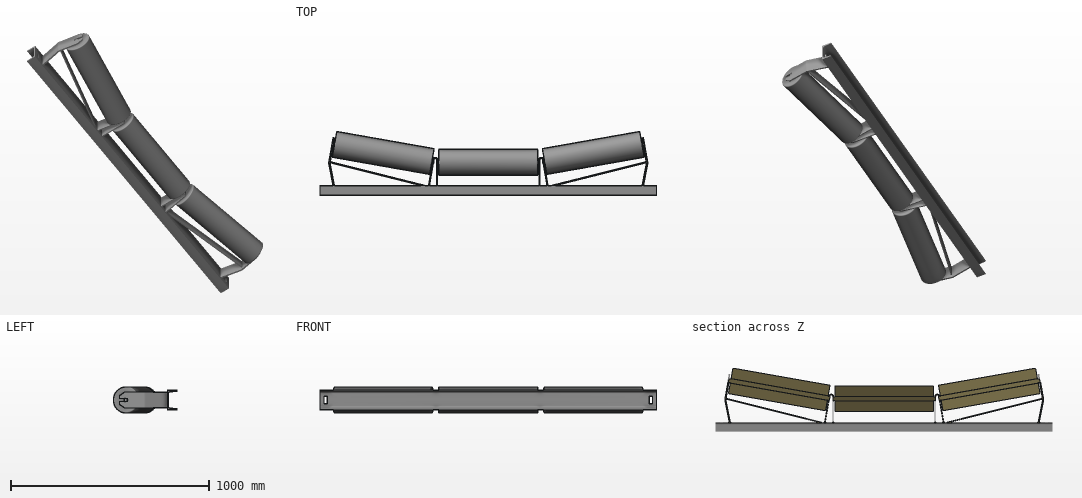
import cadquery as cq
import math

ROLLER_DIAMETER = 133.0
ROLLER_LENGTH = 500.0
ROLLER_EDGE_RADIUS = 5.0
SHAFT_DIAMETER = 20.0
SHAFT_FLAT_WIDTH = 16.0
SHAFT_OVERHANG = 10.0
SHAFT_END_CHAMFER = 2.0
TROUGH_ANGLE = 10.0

CHANNEL_LENGTH = 1700.0
CHANNEL_HEIGHT = 100.0
CHANNEL_DEPTH = 50.0
WEB_THICKNESS = 6.0
FLANGE_MEAN_THICKNESS = 8.5
FLANGE_SLOPE = 0.08
ROOT_RADIUS = 8.5
TOE_RADIUS = 4.5
MOUNTING_SLOT_WIDTH = 15.0
MOUNTING_SLOT_HEIGHT = 36.0
MOUNTING_SLOT_INSET = 29.5

OVERALL_Y = 322.68
CENTER_AXIS_Y = 117.5
WING_CENTER_X = 530.0
BRACKET_WIDTH = 80.0
FOOT_Y = -WEB_THICKNESS / 2

OUTER_PLATE_THICKNESS = 8.0
OUTER_BEND_RADIUS = 10.0
OUTER_FOOT_X = 779.0
OUTER_BEND_X = 802.0
OUTER_BEND_Y = 113.0
OUTER_ARM_LENGTH = 130.0
OUTER_SLOT_DEPTH = 41.0
OUTER_CORNER_LENGTH = 25.0
OUTER_CORNER_WIDTH = 18.0

INNER_PLATE_THICKNESS = 6.0
INNER_BEND_RADIUS = 6.0
INNER_LEG_X = 258.0
INNER_FOOT_X = 299.5
INNER_TOP_Y = 139.0

STAY_THICKNESS = 6.0
STAY_WIDTH = 50.0
STAY_FOOT_X = 316.0
STAY_TOP_Y = 119.0

tilt = math.radians(TROUGH_ANGLE)
roller_radius = ROLLER_DIAMETER / 2
edge_center_along = ROLLER_LENGTH / 2 - ROLLER_EDGE_RADIUS
edge_center_out = roller_radius - ROLLER_EDGE_RADIUS
wing_reach = edge_center_along * math.sin(tilt) + edge_center_out * math.cos(tilt) + ROLLER_EDGE_RADIUS
wing_center_y = OVERALL_Y - CHANNEL_DEPTH - wing_reach
shaft_length = ROLLER_LENGTH + 2 * SHAFT_OVERHANG


def nearest(x, y, z=0):
    """Selector for the edge whose centre is nearest to a point."""
    return cq.selectors.NearestToPointSelector((x, y, z))


def bent_strip(path, thickness, width, bend_radius=0):
    """Plate centred on Z = 0 whose mid-plane follows the XY path, rounded at each bend."""
    normals = []
    for (x0, y0), (x1, y1) in zip(path, path[1:]):
        length = math.hypot(x1 - x0, y1 - y0)
        normals.append(((y0 - y1) / length, (x1 - x0) / length))

    left = []
    right = []
    for (x, y), (ax, ay), (bx, by) in zip(path, normals[:1] + normals, normals + normals[-1:]):
        reach = thickness / 2 / (1 + ax * bx + ay * by)
        left.append((x + (ax + bx) * reach, y + (ay + by) * reach))
        right.append((x - (ax + bx) * reach, y - (ay + by) * reach))
    base = cq.Workplane("XY").workplane(offset=-width / 2)
    strip = base.polyline(left + right[::-1]).close().extrude(width)

    for i in range(1, len(path) - 1):
        (ax, ay), (bx, by) = normals[i - 1], normals[i]
        turns_left = ax * by - ay * bx > 0
        inside, outside = (left[i], right[i]) if turns_left else (right[i], left[i])
        strip = strip.edges(nearest(*inside)).fillet(bend_radius)
        strip = strip.edges(nearest(*outside)).fillet(bend_radius + thickness)
    return strip


def channel():
    half_height = CHANNEL_HEIGHT / 2
    toe_z = half_height - FLANGE_MEAN_THICKNESS + FLANGE_SLOPE * CHANNEL_DEPTH / 2
    root_z = toe_z - FLANGE_SLOPE * (CHANNEL_DEPTH - WEB_THICKNESS)
    outline = [
        (0, -half_height),
        (-CHANNEL_DEPTH, -half_height),
        (-CHANNEL_DEPTH, -toe_z),
        (-WEB_THICKNESS, -root_z),
        (-WEB_THICKNESS, root_z),
        (-CHANNEL_DEPTH, toe_z),
        (-CHANNEL_DEPTH, half_height),
        (0, half_height),
    ]
    end_plane = cq.Workplane("YZ").workplane(offset=-CHANNEL_LENGTH / 2)
    body = end_plane.polyline(outline).close().extrude(CHANNEL_LENGTH)
    for side in (-1, 1):
        body = body.edges(nearest(0, -WEB_THICKNESS, side * root_z)).fillet(ROOT_RADIUS)
        body = body.edges(nearest(0, -CHANNEL_DEPTH, side * toe_z)).fillet(TOE_RADIUS)

    slot_x = CHANNEL_LENGTH / 2 - MOUNTING_SLOT_INSET
    slots = (
        cq.Workplane("XZ")
        .pushPoints([(-slot_x, 0), (slot_x, 0)])
        .rect(MOUNTING_SLOT_WIDTH, MOUNTING_SLOT_HEIGHT)
        .extrude(CHANNEL_DEPTH)
    )
    return body.cut(slots)


def arm_tip_cutter():
    """Shaft slot and the two cut-off corners, for an arm ending at the origin and pointing to +Y."""
    through = 2 * OUTER_PLATE_THICKNESS
    half_width = BRACKET_WIDTH / 2
    cutter = cq.Workplane("XY").box(through, 2 * OUTER_SLOT_DEPTH, SHAFT_FLAT_WIDTH)
    for side in (-1, 1):
        corner = [
            (0, side * half_width),
            (-OUTER_CORNER_LENGTH, side * half_width),
            (0, side * (half_width - OUTER_CORNER_WIDTH)),
        ]
        prism = cq.Workplane("YZ").workplane(offset=-through / 2).polyline(corner).close().extrude(through)
        cutter = cutter.union(prism)
    return cutter


def outer_bracket():
    arm_top = (
        OUTER_BEND_X - OUTER_ARM_LENGTH * math.sin(tilt),
        OUTER_BEND_Y + OUTER_ARM_LENGTH * math.cos(tilt),
    )
    path = [(OUTER_FOOT_X, FOOT_Y), (OUTER_BEND_X, OUTER_BEND_Y), arm_top]
    bracket = bent_strip(path, OUTER_PLATE_THICKNESS, BRACKET_WIDTH, OUTER_BEND_RADIUS)
    cutter = arm_tip_cutter().rotate((0, 0, 0), (0, 0, 1), TROUGH_ANGLE).translate((*arm_top, 0))
    return bracket.cut(cutter)


def inner_bracket():
    lean_top_x = INNER_FOOT_X - INNER_TOP_Y * math.tan(tilt)
    path = [
        (INNER_LEG_X, FOOT_Y),
        (INNER_LEG_X, INNER_TOP_Y),
        (lean_top_x, INNER_TOP_Y),
        (INNER_FOOT_X, FOOT_Y),
    ]
    return bent_strip(path, INNER_PLATE_THICKNESS, BRACKET_WIDTH, INNER_BEND_RADIUS)


def stay():
    path = [(STAY_FOOT_X, FOOT_Y), (OUTER_BEND_X, STAY_TOP_Y)]
    return bent_strip(path, STAY_THICKNESS, STAY_WIDTH)


def rod(diameter, length):
    """Cylinder along X, centred on the origin."""
    return cq.Workplane("YZ").workplane(offset=-length / 2).circle(diameter / 2).extrude(length)


def roller():
    shell = rod(ROLLER_DIAMETER, ROLLER_LENGTH).faces("<X or >X").edges().fillet(ROLLER_EDGE_RADIUS)
    return shell.cut(rod(SHAFT_DIAMETER, ROLLER_LENGTH))


def shaft():
    """Round shaft with chamfered ends, flattened where it leaves the roller."""
    ends = rod(SHAFT_DIAMETER, shaft_length).faces("<X or >X").chamfer(SHAFT_END_CHAMFER)
    flats = cq.Workplane("XY").box(shaft_length, SHAFT_DIAMETER, SHAFT_FLAT_WIDTH)
    return ends.intersect(flats).union(rod(SHAFT_DIAMETER, ROLLER_LENGTH))


def frame(fitted_shafts):
    """Welded channel, brackets and stays, with seats cut for the shafts."""
    right_side = outer_bracket().union(inner_bracket()).union(stay())
    body = channel().union(right_side).union(right_side.mirror("YZ"))
    for fitted_shaft in fitted_shafts:
        body = body.cut(fitted_shaft)
    return body


def at_roller_stations(make_body):
    """One copy of a body on each of the left wing, centre and right wing roller axes."""
    copies = []
    for side in (-1, 0, 1):
        center_y = wing_center_y if side else CENTER_AXIS_Y
        turned = make_body().rotate((0, 0, 0), (0, 0, 1), side * TROUGH_ANGLE)
        copies.append(turned.translate((side * WING_CENTER_X, center_y, 0)))
    return copies


rollers = at_roller_stations(roller)
shafts = at_roller_stations(shaft)
idler_frame = frame(shafts)

result = cq.Compound.makeCompound(
    [idler_frame.val(), *[body.val() for body in rollers], *[body.val() for body in shafts]]
)